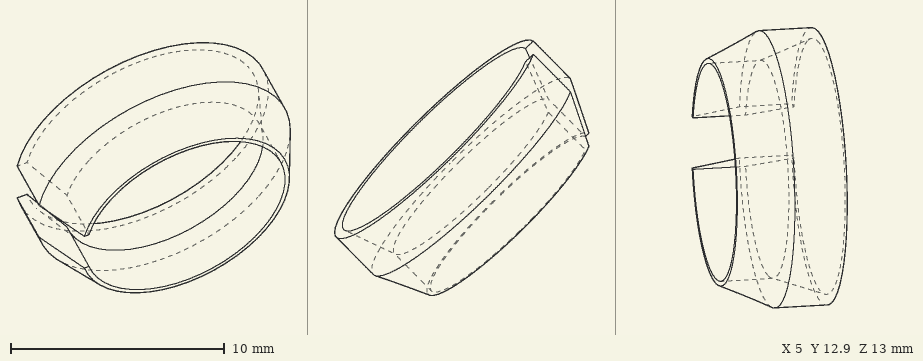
import cadquery as cq

outer_diameter = 13.0
width = 5.0
band_width = width / 2
nose_diameter = 10.66
mouth_diameter = 12.0
bore_diameter = 10.2
gap = 2.5

wall_section = (
    cq.Workplane("XY")
    .moveTo(0, mouth_diameter / 2)
    .lineTo(0, outer_diameter / 2)
    .lineTo(band_width, outer_diameter / 2)
    .lineTo(width, nose_diameter / 2)
    .lineTo(width, bore_diameter / 2)
    .lineTo(band_width, bore_diameter / 2)
    .close()
)
ring = wall_section.revolve(360, (0, 0, 0), (1, 0, 0))

slit = cq.Workplane("XY").box(
    width, outer_diameter, gap, centered=(False, True, True)
).translate((0, -outer_diameter / 2, 0))

result = ring.cut(slit)